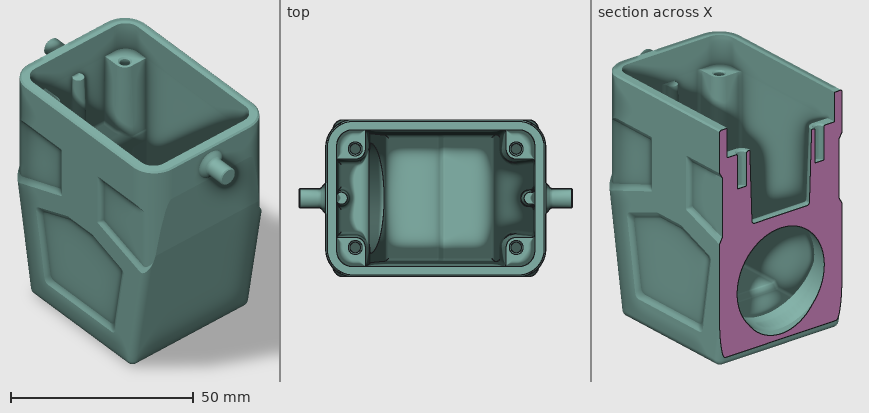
import cadquery as cq
import math

HEIGHT = 72.0
HALF_DEPTH = 43.0 / 2
HALF_LENGTH = 30.15
UPPER_BEND = 61.2
LOWER_BEND = 42.4
LOWER_BEND_HALF = 28.6
FOOT_HALF = 21.6
CORNER_RADIUS = 7.5
EDGE_RADIUS = 2.0
RIM_CHAMFER = 0.45

RECESS_DEPTH = 1.0
RECESS_WALL_ANGLE = 60.0
PANEL_CORNER = 3.4
GRIP_CORNER = 1.1
GRIP_INNER = 7.4
GRIP_TOP = 59.1
LEDGE_HEIGHT = 42.75
LEDGE_ANGLE = 19.3
GRIP_EDGE_RADIUS = 3.0
PANEL_TOP_HALF = 5.2
PANEL_TOP = 37.2
PANEL_SIDE_HALF = 18.7
PANEL_SIDE = 32.25
PANEL_BOTTOM_HALF = 14.7
PANEL_BOTTOM = 7.95
BEYOND = 45.0

PIN_TIP = 37.5
PIN_RADIUS = 2.6
PIN_HEIGHT = 66.0
PIN_CHAMFER = 0.3
FLARE_RADIUS = 4.3
FLARE_END = 31.6
FLARE_FILLET = 0.75

MOUTH_HALF_LENGTH = 27.15
MOUTH_HALF_DEPTH = 18.75
MOUTH_CORNER = 4.4
SEAT_HEIGHT = 63.1
CAVITY_DRAFT = 1.5
FLOOR_LOW = 4.5
FLOOR_HIGH = 6.0
FLOOR_STEP = 0.75
FLOOR_LOW_END = -13.5
FLOOR_HIGH_END = 15.9
INNER_FILLET = 0.8
INNER_LEAN = 15.0
SHELF_EDGE = -18.3
SHELF_HEIGHT = 40.5
SHELF_FILLET = 2.25

SCREW_X = 22.05
SCREW_Y = 13.5
BOSS_RADIUS = 2.8
BOSS_DRAFT = 2.0
SCREW_HOLE = 2.9
SCREW_CHAMFER = 0.45
SCREW_DEPTH = 10.5
POST_X = 25.9
POST_RADIUS = 1.65
POST_TOP = 62.25
POST_DRAFT = 2.0

ENTRY_HEIGHT = 20.2
ENTRY_RADIUS = 15.15
ENTRY_CHAMFER = 1.2
ENTRY_TILT = 12.0
ENTRY_REACH = 11.25


def lean(angle, rise):
    """Sideways run of a wall leaning by angle over a rise."""
    return rise * math.tan(math.radians(angle))


def mirrored(right):
    """A right-hand chain of points closed by its mirror image about X = 0."""
    return right + [(-x, z) for x, z in reversed(right)]


def side_cut(points, depth):
    """Recess with leaning walls, cut inwards from the -Y side."""
    plane = cq.Plane(origin=(0, -HALF_DEPTH, 0), xDir=(1, 0, 0), normal=(0, -1, 0))
    return cq.Workplane(plane).polyline(points).close().extrude(-depth, taper=RECESS_WALL_ANGLE)


def rounded_side_cut(points, corner):
    """Recess of standard depth with rounded edges between its leaning walls."""
    margin = RECESS_DEPTH / 4
    wall_edges = cq.selectors.BoxSelector(
        (-2 * BEYOND, -HALF_DEPTH + margin, -2 * HEIGHT),
        (2 * BEYOND, -HALF_DEPTH + RECESS_DEPTH - margin, 2 * HEIGHT),
    )
    return side_cut(points, RECESS_DEPTH).edges(wall_edges).fillet(corner)


def rounded_block(half_x, half_y, radius, base, rise, draft=0):
    """Rounded rectangular block from the base height; a negative rise goes down."""
    outline = cq.Sketch().rect(2 * half_x, 2 * half_y).vertices().fillet(radius)
    return cq.Workplane("XY", origin=(0, 0, base)).placeSketch(outline).extrude(rise, taper=draft)


def nearest(x, y, z):
    return cq.selectors.NearestToPointSelector((x, y, z))


def outer_shell():
    profile = mirrored([
        (FOOT_HALF, 0),
        (LOWER_BEND_HALF, LOWER_BEND),
        (HALF_LENGTH, UPPER_BEND),
        (HALF_LENGTH, HEIGHT),
    ])
    prism = cq.Workplane("XZ").polyline(profile).close().extrude(HALF_DEPTH, both=True)
    side_edges = prism.faces("<Y or >Y").edges("not >Z")
    return side_edges.add(prism.edges("<Z and |Y")).fillet(EDGE_RADIUS)


def ledge_at(x):
    """Height of the sloping ledge on the long side."""
    return LEDGE_HEIGHT - lean(LEDGE_ANGLE, x - GRIP_INNER)


def corner_trim():
    """Stock outside the rounded upper corners, down to the ledges."""
    outline = [
        (GRIP_INNER, LEDGE_HEIGHT),
        (BEYOND, ledge_at(BEYOND)),
        (BEYOND, 2 * HEIGHT),
        (GRIP_INNER, 2 * HEIGHT),
    ]
    kept = rounded_block(HALF_LENGTH, HALF_DEPTH, CORNER_RADIUS, 0, HEIGHT)
    return side_cut(outline, CORNER_RADIUS).cut(kept)


def grip_recess():
    outline = [
        (GRIP_INNER, LEDGE_HEIGHT),
        (BEYOND, ledge_at(BEYOND)),
        (BEYOND, GRIP_TOP),
        (GRIP_INNER, GRIP_TOP),
    ]
    return rounded_side_cut(outline, GRIP_CORNER)


def panel_recess():
    outline = mirrored([
        (PANEL_BOTTOM_HALF, PANEL_BOTTOM),
        (PANEL_SIDE_HALF, PANEL_SIDE),
        (PANEL_TOP_HALF, PANEL_TOP),
    ])
    return rounded_side_cut(outline, PANEL_CORNER)


def cut_both_sides(body, tool):
    return body.cut(tool).cut(tool.mirror("XZ"))


def cut_all_corners(body, tool):
    return cut_both_sides(cut_both_sides(body, tool), tool.mirror("YZ"))


def pin():
    root = MOUTH_HALF_LENGTH + 0.75
    outline = [
        (root, 0),
        (root, FLARE_RADIUS),
        (HALF_LENGTH, FLARE_RADIUS),
        (FLARE_END, PIN_RADIUS),
        (PIN_TIP - PIN_CHAMFER, PIN_RADIUS),
        (PIN_TIP, PIN_RADIUS - PIN_CHAMFER),
        (PIN_TIP, 0),
    ]
    turned = cq.Workplane("XY").polyline(outline).close().revolve(360, (0, 0, 0), (1, 0, 0))
    turned = turned.edges(nearest(FLARE_END, 0, 0)).fillet(FLARE_FILLET)
    return turned.translate((0, 0, PIN_HEIGHT))


def screw_boss():
    """Drafted column filling one corner, rounded about the screw hole."""
    near_x = SCREW_X - BOSS_RADIUS
    near_y = SCREW_Y - BOSS_RADIUS
    turn = BOSS_RADIUS * (1 - math.sqrt(0.5))
    return (
        cq.Workplane("XY", origin=(0, 0, SEAT_HEIGHT))
        .moveTo(near_x, SCREW_Y)
        .threePointArc((near_x + turn, near_y + turn), (SCREW_X, near_y))
        .lineTo(BEYOND, near_y)
        .lineTo(BEYOND, BEYOND)
        .lineTo(near_x, BEYOND)
        .close()
        .extrude(-SEAT_HEIGHT, taper=-BOSS_DRAFT)
    )


def guide_post():
    post = cq.Workplane("XY", origin=(POST_X, 0, POST_TOP)).circle(POST_RADIUS)
    return post.extrude(-POST_TOP, taper=-POST_DRAFT)


def stepped_profile():
    """Lengthwise outline of the cavity: stepped floor, leaning ends and the shelf."""
    step_top = FLOOR_STEP + FLOOR_HIGH - FLOOR_LOW
    far_end = FLOOR_HIGH_END + lean(INNER_LEAN, SEAT_HEIGHT - FLOOR_HIGH)
    shelf_foot = FLOOR_LOW + (FLOOR_LOW_END - SHELF_EDGE) / lean(INNER_LEAN, 1)
    return [
        (FLOOR_LOW_END, FLOOR_LOW),
        (FLOOR_STEP, FLOOR_LOW),
        (step_top, FLOOR_HIGH),
        (FLOOR_HIGH_END, FLOOR_HIGH),
        (far_end, SEAT_HEIGHT),
        (-BEYOND, SEAT_HEIGHT),
        (-BEYOND, SHELF_HEIGHT),
        (SHELF_EDGE, SHELF_HEIGHT),
        (SHELF_EDGE, shelf_foot),
    ]


def open_well():
    """Cavity below the boss tops, before the bosses and posts fill parts of it."""
    stepped = cq.Workplane("XZ").polyline(stepped_profile()).close().extrude(BEYOND, both=True)
    stepped = stepped.edges(nearest(SHELF_EDGE, 0, SHELF_HEIGHT)).fillet(SHELF_FILLET)
    drafted = rounded_block(
        MOUTH_HALF_LENGTH, MOUTH_HALF_DEPTH, MOUTH_CORNER, SEAT_HEIGHT, -SEAT_HEIGHT, CAVITY_DRAFT
    )
    well = stepped.intersect(drafted)
    floor_top = FLOOR_HIGH + 0.1
    near_floor = cq.selectors.BoxSelector((-BEYOND, -BEYOND, 0), (BEYOND, BEYOND, floor_top))
    return well.edges(near_floor).fillet(INNER_FILLET)


def root_edges(well):
    """Edges where the +X bosses and post meet the walls."""
    side_x = SCREW_X - BOSS_RADIUS
    side_y = SCREW_Y - BOSS_RADIUS
    spots = [
        (side_x, MOUTH_HALF_DEPTH, SEAT_HEIGHT / 2),
        (MOUTH_HALF_LENGTH, side_y, SEAT_HEIGHT - SCREW_DEPTH),
        (SCREW_X + BOSS_RADIUS, side_y, SHELF_HEIGHT),
        (MOUTH_HALF_LENGTH, POST_RADIUS, SEAT_HEIGHT - SCREW_DEPTH),
    ]
    return [well.edges(nearest(x, side * y, z)).val() for x, y, z in spots for side in (-1, 1)]


def cavity():
    mouth = rounded_block(MOUTH_HALF_LENGTH, MOUTH_HALF_DEPTH, MOUTH_CORNER, SEAT_HEIGHT, HEIGHT - SEAT_HEIGHT)
    well = cut_all_corners(open_well(), screw_boss())
    well = well.cut(guide_post()).cut(guide_post().mirror("YZ"))
    well = well.newObject(root_edges(well)).fillet(INNER_FILLET)
    shelf = well.faces(nearest(-SCREW_X, 0, SHELF_HEIGHT))
    well = shelf.edges("not(|Y and >X)").fillet(INNER_FILLET)
    return mouth.union(well)


def screw_hole():
    top = cq.Workplane("XY", origin=(SCREW_X, SCREW_Y, SEAT_HEIGHT))
    hole = top.circle(SCREW_HOLE / 2).extrude(-SCREW_DEPTH)
    countersink = top.circle(SCREW_HOLE / 2 + SCREW_CHAMFER).extrude(-SCREW_CHAMFER, taper=45)
    return hole.union(countersink)


def round_grip_edges(body):
    """Round the edge between each corner recess and the rounded corner beside it."""
    floor_offset = CORNER_RADIUS - RECESS_DEPTH
    edge_x = HALF_LENGTH - CORNER_RADIUS + math.sqrt(CORNER_RADIUS**2 - floor_offset**2)
    edge_y = HALF_DEPTH - RECESS_DEPTH
    edge_z = (GRIP_TOP + ledge_at(edge_x)) / 2
    for x in (-edge_x, edge_x):
        for y in (-edge_y, edge_y):
            body = body.edges(nearest(x, y, edge_z)).fillet(GRIP_EDGE_RADIUS)
    return body


def add_cable_entry(body):
    """Chamfered round opening through the -X wall, its axis rising inwards."""
    face_x = -FOOT_HALF - (LOWER_BEND_HALF - FOOT_HALF) * ENTRY_HEIGHT / LOWER_BEND
    bore = cq.Workplane("YZ").circle(ENTRY_RADIUS).extrude(ENTRY_REACH, both=True)
    bore = bore.rotate((0, 0, 0), (0, 1, 0), -ENTRY_TILT).translate((face_x, 0, ENTRY_HEIGHT))
    bored = body.cut(bore)
    return bored.edges(nearest(face_x, 0, ENTRY_HEIGHT)).chamfer(ENTRY_CHAMFER)


body = outer_shell()
body = cut_all_corners(body, corner_trim())
body = body.faces(">Z").edges().chamfer(RIM_CHAMFER)
body = cut_all_corners(body, grip_recess())
body = round_grip_edges(body)
body = cut_both_sides(body, panel_recess())
body = body.union(pin()).union(pin().mirror("YZ"))
body = body.cut(cavity())
body = cut_all_corners(body, screw_hole())
result = add_cable_entry(body)